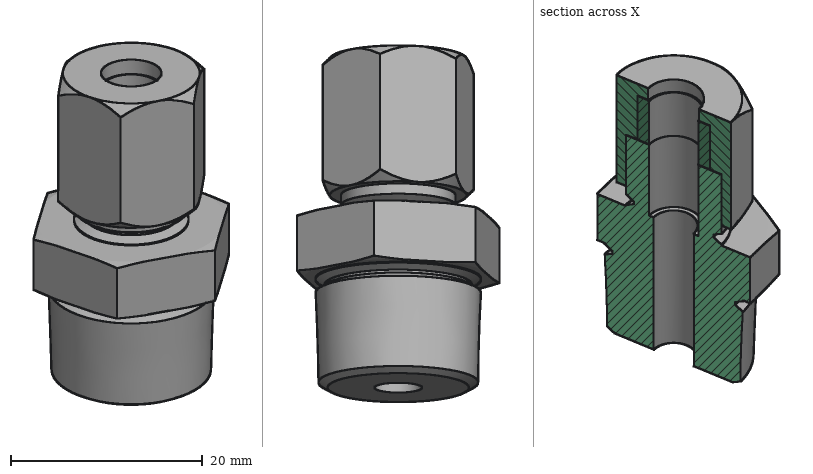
import cadquery as cq
import math


TOTAL_HEIGHT = 35.0
BODY_HEX_BOTTOM = 11.62
BODY_HEX_TOP = 17.9
NUT_BOTTOM = 20.5
BODY_TOP = 27.48
NUT_LIP_THICKNESS = 1.68
NUT_SHOULDER = TOTAL_HEIGHT - NUT_LIP_THICKNESS

BODY_HEX_FLATS = 19.1
BODY_HEX_FACE_RADIUS = 9.87
BODY_HEX_CHAMFER_ANGLE = 10.0
NUT_HEX_FLATS = 14.28
NUT_HEX_FACE_RADIUS = NUT_HEX_FLATS / 2
NUT_HEX_CHAMFER_ANGLE = 45.0

PIPE_TOP_RADIUS = 8.65
PIPE_TOP = 10.1
PIPE_TAPER = 1 / 16
PIPE_END_CHAMFER = 0.55
PIPE_GROOVE_RADIUS = 7.7
PIPE_GROOVE_TOP = 11.5

NUT_THREAD_RADIUS = 6.0
NUT_GROOVE_BOTTOM = 18.0
NUT_THREAD_START = 19.42
NUT_GROOVE_RADIUS = 4.97

FLANK_ANGLE = 30.0

THROUGH_RADIUS = 2.5
TUBE_RADIUS = 3.05
NUT_LIP_RADIUS = 3.15
FERRULE_RADIUS = 4.5


def rise(run, angle):
    """Height gained over a radial run on a flank at the given angle to the horizontal."""
    return run * math.tan(math.radians(angle))


def revolve_profile(points):
    """Revolve a closed (radius, height) outline around the Z axis."""
    return cq.Workplane("XZ").polyline(points).close().revolve(360, (0, 0, 0), (0, 1, 0))


def cylinder(radius, bottom, top):
    """Cylinder on the Z axis between two heights."""
    return cq.Workplane("XY").workplane(offset=bottom).circle(radius).extrude(top - bottom)


def chamfered_hexagon(flats, bottom, top, face_radius, chamfer_angle):
    """Hexagonal prism with corners on the X axis, turned conically at both ends."""
    corner_radius = flats / math.sqrt(3)
    chamfer_height = rise(corner_radius - face_radius, chamfer_angle)
    prism = (
        cq.Workplane("XY")
        .workplane(offset=bottom)
        .polygon(6, 2 * corner_radius)
        .extrude(top - bottom)
    )
    envelope = revolve_profile([
        (0, bottom),
        (face_radius, bottom),
        (corner_radius, bottom + chamfer_height),
        (corner_radius, top - chamfer_height),
        (face_radius, top),
        (0, top),
    ])
    return prism.intersect(envelope)


def pipe_thread():
    """Tapered lower end with its end chamfer and the runout groove below the hexagon."""
    taper_length = PIPE_TOP - PIPE_END_CHAMFER
    lower_radius = PIPE_TOP_RADIUS - taper_length * PIPE_TAPER / 2
    end_radius = lower_radius - PIPE_END_CHAMFER / math.tan(math.radians(FLANK_ANGLE))
    groove_wall = rise(PIPE_TOP_RADIUS - PIPE_GROOVE_RADIUS, FLANK_ANGLE)
    return revolve_profile([
        (0, 0),
        (end_radius, 0),
        (lower_radius, PIPE_END_CHAMFER),
        (PIPE_TOP_RADIUS, PIPE_TOP),
        (PIPE_GROOVE_RADIUS, PIPE_TOP + groove_wall),
        (PIPE_GROOVE_RADIUS, PIPE_GROOVE_TOP - groove_wall),
        (PIPE_TOP_RADIUS, PIPE_GROOVE_TOP),
        (PIPE_TOP_RADIUS, BODY_HEX_BOTTOM),
        (0, BODY_HEX_BOTTOM),
    ])


def nut_thread():
    """Straight upper end with the runout groove above the hexagon."""
    groove_wall = rise(NUT_THREAD_RADIUS - NUT_GROOVE_RADIUS, FLANK_ANGLE)
    return revolve_profile([
        (0, BODY_HEX_TOP),
        (NUT_THREAD_RADIUS, BODY_HEX_TOP),
        (NUT_THREAD_RADIUS, NUT_GROOVE_BOTTOM),
        (NUT_GROOVE_RADIUS, NUT_GROOVE_BOTTOM + groove_wall),
        (NUT_GROOVE_RADIUS, NUT_THREAD_START - groove_wall),
        (NUT_THREAD_RADIUS, NUT_THREAD_START),
        (NUT_THREAD_RADIUS, BODY_TOP),
        (0, BODY_TOP),
    ])


def make_body():
    hexagon = chamfered_hexagon(
        BODY_HEX_FLATS, BODY_HEX_BOTTOM, BODY_HEX_TOP, BODY_HEX_FACE_RADIUS, BODY_HEX_CHAMFER_ANGLE
    )
    through_bore = cylinder(THROUGH_RADIUS, 0, BODY_TOP)
    tube_socket = cylinder(TUBE_RADIUS, BODY_HEX_TOP, BODY_TOP)
    return pipe_thread().union(hexagon).union(nut_thread()).cut(through_bore).cut(tube_socket)


def make_nut():
    hexagon = chamfered_hexagon(
        NUT_HEX_FLATS, NUT_BOTTOM, TOTAL_HEIGHT, NUT_HEX_FACE_RADIUS, NUT_HEX_CHAMFER_ANGLE
    )
    threaded_bore = cylinder(NUT_THREAD_RADIUS, NUT_BOTTOM, BODY_TOP)
    ferrule_recess = cylinder(FERRULE_RADIUS, BODY_TOP, NUT_SHOULDER)
    lip_bore = cylinder(NUT_LIP_RADIUS, NUT_SHOULDER, TOTAL_HEIGHT)
    return hexagon.cut(threaded_bore).cut(ferrule_recess).cut(lip_bore)


def make_ferrule():
    """Sleeve held between the top of the body and the shoulder inside the nut."""
    sleeve = cylinder(FERRULE_RADIUS, BODY_TOP, NUT_SHOULDER)
    return sleeve.cut(cylinder(TUBE_RADIUS, BODY_TOP, NUT_SHOULDER))


body = make_body()
nut = make_nut()
ferrule = make_ferrule()

result = cq.Compound.makeCompound([body.val(), nut.val(), ferrule.val()])